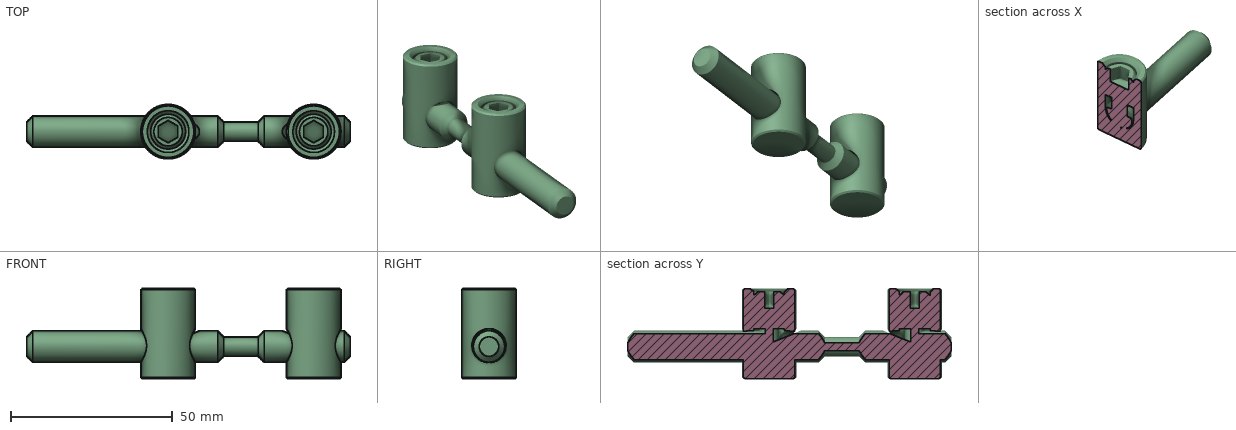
import cadquery as cq
import math

length = 100.0
sleeve_diameter = 16.9
sleeve_height = 28.0
sleeve_edge_chamfer = 0.5
sleeve_spacing = 45.0
left_sleeve_x = -6.3
right_sleeve_x = left_sleeve_x + sleeve_spacing

rod_diameter = 9.8
rod_axis_z = -4.0
rod_chamfer = 1.9
neck_diameter = rod_diameter - 2 * rod_chamfer
neck_start_x = 10.9
neck_end_x = 21.5

cross_bore_diameter = 10.4
contact_overlap = 0.01
cross_bore_z = rod_axis_z + (cross_bore_diameter - rod_diameter) / 2 - contact_overlap

ramp_length = 9.7
ramp_angle = 22.0
ramp_depth = ramp_length * math.tan(math.radians(ramp_angle))

screw_diameter = 10.8
screw_recess = 1.0
screw_chamfer = 1.0
screw_tip_diameter = 6.0
screw_tip_z = rod_axis_z
screw_body_bottom_z = cross_bore_z + cross_bore_diameter / 2
mouth_diameter = 12.9
hex_across_flats = 6.0
hex_depth = 5.0


def make_rod():
    """Chamfered rod with a thin neck, revolved about its own axis."""
    radius = rod_diameter / 2
    neck_radius = neck_diameter / 2
    start_x = -length / 2
    end_x = length / 2
    profile = [
        (start_x, 0),
        (start_x, neck_radius),
        (start_x + rod_chamfer, radius),
        (neck_start_x - rod_chamfer, radius),
        (neck_start_x, neck_radius),
        (neck_end_x, neck_radius),
        (neck_end_x + rod_chamfer, radius),
        (end_x - rod_chamfer, radius),
        (end_x, neck_radius),
        (end_x, 0),
    ]
    rod = cq.Workplane("XZ").polyline(profile).close().revolve(360, (0, 0, 0), (1, 0, 0))
    return rod.translate((0, 0, rod_axis_z))


def make_ramp(sleeve_x, direction):
    """Wedge removed from the rod; direction is +1 or -1 along X, toward the neck."""
    rod_top_z = rod_axis_z + rod_diameter / 2
    return (
        cq.Workplane("XZ")
        .moveTo(sleeve_x, rod_top_z)
        .lineTo(sleeve_x + direction * ramp_length, rod_top_z)
        .lineTo(sleeve_x, rod_top_z - ramp_depth)
        .close()
        .extrude(rod_diameter / 2, both=True)
    )


def make_sleeve(sleeve_x):
    """Chamfered cylinder with the cross bore and the countersunk screw hole."""
    top_z = sleeve_height / 2
    mouth_chamfer = (mouth_diameter - screw_diameter) / 2
    sleeve = (
        cq.Workplane("XY")
        .circle(sleeve_diameter / 2)
        .extrude(top_z, both=True)
        .faces("<Z or >Z")
        .chamfer(sleeve_edge_chamfer)
    )
    cross_bore = (
        cq.Workplane("YZ")
        .center(0, cross_bore_z)
        .circle(cross_bore_diameter / 2)
        .extrude(sleeve_diameter, both=True)
    )
    screw_hole = (
        cq.Workplane("XY", origin=(0, 0, cross_bore_z))
        .circle(screw_diameter / 2)
        .extrude(top_z - cross_bore_z)
    )
    mouth = (
        cq.Workplane("XY", origin=(0, 0, top_z))
        .circle(mouth_diameter / 2)
        .workplane(offset=-mouth_chamfer)
        .circle(screw_diameter / 2)
        .loft()
    )
    return sleeve.cut(cross_bore).cut(screw_hole).cut(mouth).translate((sleeve_x, 0, 0))


def make_screw(sleeve_x):
    """Hex socket set screw with a narrow tip that presses into the rod."""
    screw_top_z = sleeve_height / 2 - screw_recess
    hex_across_corners = hex_across_flats / math.cos(math.radians(30))
    screw = (
        cq.Workplane("XY", origin=(0, 0, screw_body_bottom_z))
        .circle(screw_diameter / 2)
        .extrude(screw_top_z - screw_body_bottom_z)
        .faces(">Z")
        .chamfer(screw_chamfer)
    )
    socket = (
        cq.Workplane("XY", origin=(0, 0, screw_top_z))
        .transformed(rotate=(0, 0, 90))
        .polygon(6, hex_across_corners)
        .extrude(-hex_depth)
    )
    tip = (
        cq.Workplane("XY", origin=(0, 0, screw_tip_z))
        .circle(screw_tip_diameter / 2)
        .extrude(screw_body_bottom_z - screw_tip_z)
    )
    return screw.cut(socket).union(tip).translate((sleeve_x, 0, 0))


result = make_rod()
for sleeve_x, direction in ((left_sleeve_x, 1), (right_sleeve_x, -1)):
    result = result.cut(make_ramp(sleeve_x, direction))
for sleeve_x in (left_sleeve_x, right_sleeve_x):
    result = result.union(make_sleeve(sleeve_x)).union(make_screw(sleeve_x))